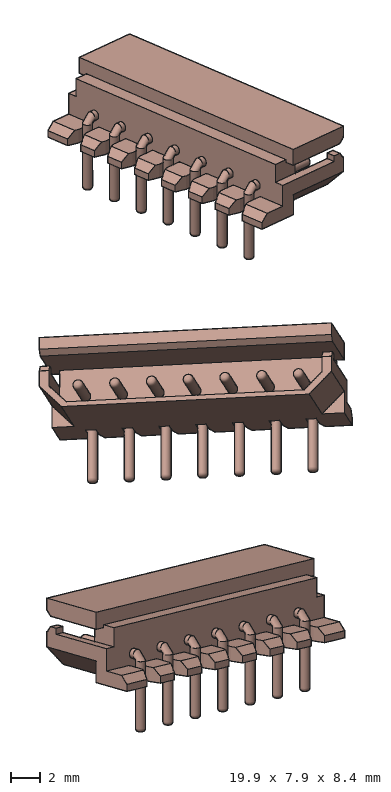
import cadquery as cq
import math


length = 19.9
back_y = 5.9
wall_y = 1.91
shelf_top = 2.57
neck_top = 3.9
neck_inset = 0.68
rail_width = 0.65
floor_thickness = 0.32
corner_chamfer = 1.51
corner_chamfer_front = 1.05

plate_front = 1.01
plate_bottom = 3.7
plate_top = 4.9
plate_chamfer = 0.38

lip_top = 2.98
lip_front = 4.98
lip_chamfer_y = 0.35
lip_chamfer_z = 0.48

foot_reach = 2.0
foot_height = 1.01
foot_chamfer = 0.52
slot_width = 0.72
slot_mouth = 1.21
slot_flare_start = 1.2

pin_count = 7
pin_end_margin = 2.45
pin_diameter = 0.7
pin_tip_radius = 0.24
pin_height = 1.8
pin_reach = 0.72
pin_bottom = -3.5
pin_mating_end = lip_front

half_length = length / 2
pin_radius = pin_diameter / 2
pin_pitch = (length - 2 * pin_end_margin) / (pin_count - 1)
pin_positions = [-half_length + pin_end_margin + i * pin_pitch for i in range(pin_count)]


def box(x_range, y_range, z_range):
    """Axis-aligned box between the given limits."""
    limits = (x_range, y_range, z_range)
    size = [high - low for low, high in limits]
    corner = tuple(low for low, high in limits)
    return cq.Workplane("XY").box(*size, centered=False).translate(corner)


def extrude_along_x(points, x_start, x_end):
    """Extrude a (Y, Z) outline from x_start to x_end."""
    profile = cq.Workplane("YZ", origin=(x_start, 0, 0)).polyline(points).close()
    return profile.extrude(x_end - x_start)


def make_cavity_block():
    """Trough, open at the top and back, whose lower corners are chamfered inside and out."""
    inner_half = half_length - rail_width
    inner_floor_half = inner_half - (corner_chamfer - floor_thickness)
    outside = [
        (-half_length, shelf_top), (-half_length, corner_chamfer), (-half_length + corner_chamfer, 0),
        (half_length - corner_chamfer, 0), (half_length, corner_chamfer), (half_length, shelf_top),
    ]
    inside = [
        (-inner_half, shelf_top), (-inner_half, corner_chamfer), (-inner_floor_half, floor_thickness),
        (inner_floor_half, floor_thickness), (inner_half, corner_chamfer), (inner_half, shelf_top),
    ]

    def prism(points, y_start):
        profile = cq.Workplane("XZ", origin=(0, back_y, 0)).polyline(points).close()
        return profile.extrude(back_y - y_start)

    return prism(outside, corner_chamfer_front).cut(prism(inside, wall_y))


def make_wall_and_neck():
    """Wall that holds the pins, and the narrower neck that joins it to the cover plate."""
    neck_half = half_length - neck_inset
    wall = box((-half_length, half_length), (0, corner_chamfer_front), (0, shelf_top))
    neck = box((-neck_half, neck_half), (0, wall_y), (shelf_top, neck_top))
    return wall.union(neck)


def make_plate():
    """Cover plate with its lower back edge chamfered."""
    points = [
        (plate_front, plate_bottom), (back_y - plate_chamfer, plate_bottom),
        (back_y, plate_bottom + plate_chamfer), (back_y, plate_top), (plate_front, plate_top),
    ]
    return extrude_along_x(points, -half_length, half_length)


def make_lip(x_start):
    """Latch lip at the back end of one side rail."""
    points = [
        (lip_front, shelf_top), (lip_front, lip_top), (back_y - lip_chamfer_y, lip_top),
        (back_y, lip_top - lip_chamfer_z), (back_y, corner_chamfer), (lip_front, corner_chamfer),
    ]
    return extrude_along_x(points, x_start, x_start + rail_width)


def make_feet():
    """Chamfered ledge along the front, split into feet by a flared slot at each pin."""
    points = [
        (0, 0), (-foot_reach, 0), (-foot_reach, foot_height - foot_chamfer),
        (-foot_reach + foot_chamfer, foot_height), (0, foot_height),
    ]
    feet = extrude_along_x(points, -half_length, half_length)
    slot = (
        cq.Workplane("XY")
        .polyline([
            (-slot_width / 2, 0), (-slot_width / 2, -slot_flare_start), (-slot_mouth / 2, -foot_reach),
            (slot_mouth / 2, -foot_reach), (slot_width / 2, -slot_flare_start), (slot_width / 2, 0),
        ])
        .close()
        .extrude(foot_height)
    )
    for x in pin_positions:
        feet = feet.cut(slot.translate((x, 0, 0)))
    return feet


def make_pin():
    """Bent pin at X = 0: a horizontal leg, a straight 45 degree elbow and a vertical leg."""
    elbow_y = -pin_reach + pin_radius
    elbow_z = pin_height - pin_radius
    horizontal = (
        cq.Workplane("XZ", origin=(0, pin_mating_end, pin_height))
        .circle(pin_radius)
        .extrude(pin_mating_end - elbow_y)
        .faces(">Y").edges().fillet(pin_tip_radius)
    )
    vertical = (
        cq.Workplane("XY", origin=(0, -pin_reach, pin_bottom))
        .circle(pin_radius)
        .extrude(elbow_z - pin_bottom)
        .faces("<Z").edges().fillet(pin_tip_radius)
    )
    bar_start = (0, elbow_y + pin_diameter, pin_height + pin_diameter)
    diagonal = cq.Plane(origin=bar_start, xDir=(-1, 0, 0), normal=(0, -1, -1))
    bar = (
        cq.Workplane(diagonal)
        .ellipse(pin_radius, pin_radius * math.sqrt(0.5))
        .extrude(4 * pin_diameter)
    )
    corner = box(
        (-pin_diameter, pin_diameter),
        (elbow_y - pin_diameter, elbow_y),
        (elbow_z, elbow_z + pin_diameter),
    )
    return horizontal.union(vertical).union(bar.intersect(corner))


result = make_cavity_block().union(make_wall_and_neck()).union(make_plate()).union(make_feet())
for rail_start in (-half_length, half_length - rail_width):
    result = result.union(make_lip(rail_start))
pin = make_pin()
for pin_x in pin_positions:
    result = result.union(pin.translate((pin_x, 0, 0)))